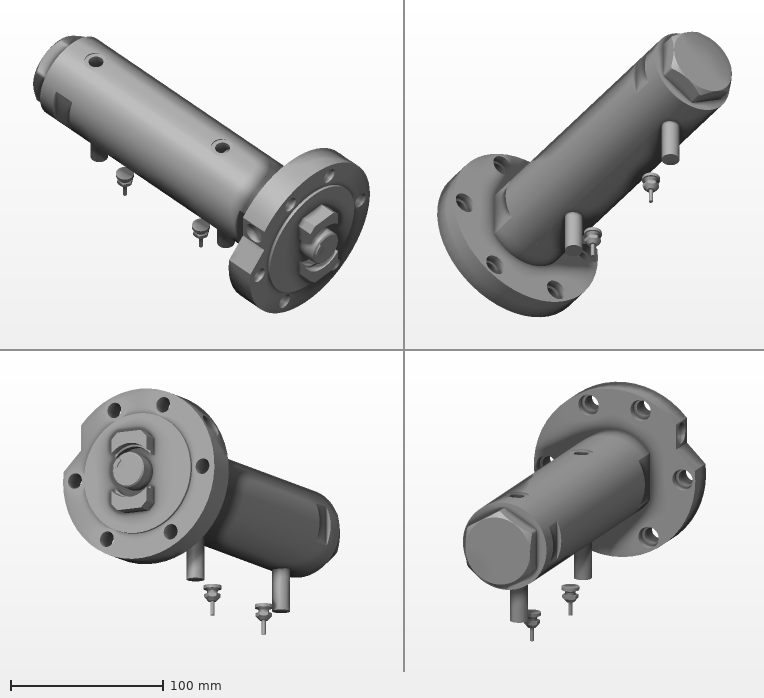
import cadquery as cq
import math


HOUSING_RADIUS = 29.5
HOUSING_START = 14.8
HOUSING_END = 190.0
WRENCH_FLAT_START = 24.5
WRENCH_FLAT_LENGTH = 14.8
WRENCH_FLAT_OFFSET = 26.5
CAVITY_START = 38.0
CAVITY_RADIUS = 14.8

PORT_SPACING = 115.2
PORT_X = (35.5, 35.5 + PORT_SPACING)
PORT_RADIUS = 5.0
PORT_FLOOR = 0.0
SPOTFACE_RADIUS = 7.6
SPOTFACE_Z = math.sqrt(HOUSING_RADIUS**2 - SPOTFACE_RADIUS**2)
PIN_X = (38.5, 38.5 + PORT_SPACING)
PIN_RADIUS = 6.0
PIN_TOP = -27.0

HEX_HALF_WIDTH = 23.0
HEX_LENGTH = 12.8
HEX_EDGE_ROUND = 2.2
HEX_CORNER_CHAMFER = 3.7

FLANGE_DIAMETER = 114.0
FLANGE_RADIUS = FLANGE_DIAMETER / 2
FLANGE_START = 210.7
FLANGE_END = 230.2
NECK_FLAT_OFFSET = 24.9
NOTCH_Y = -43.3
NOTCH_CORNER_Z = 20.2
CROSS_HOLE_Z = 29.0
CROSS_HOLE_RADIUS = 7.1
BOLT_CIRCLE_RADIUS = 48.0
BOLT_ANGLES = (0, 67.5, 112.5, 180, 240, 300)
BOLT_HOLE_RADIUS = 5.2
COUNTERBORE_RADIUS = 7.1
COUNTERBORE_DEPTH = 6.2

SLEEVE_RADIUS = 24.1
SLEEVE_HEAD_RADIUS = 25.9
SLEEVE_START = 152.2
DISC_RADIUS = 40.1
DISC_END = 232.2
DOG_END = 243.2
DOG_HALF_WIDTH = 13.0
DOG_HALF_HEIGHT = 26.0
DOG_CHAMFER = 4.2
DOG_BORE_RADIUS = 16.7
DOG_RECESS_RADIUS = 18.2
DOG_RECESS_START = 237.8

SPINDLE_RADIUS = 11.8
SPINDLE_END = 245.2
SPINDLE_CHAMFER = 1.0
TOOTH_END = 246.2
TOOTH_INNER_RADIUS = 8.0
TOOTH_OUTER_RADIUS = SPINDLE_RADIUS - SPINDLE_CHAMFER
TOOTH_ANGLES = (126, 165)

NIPPLE_X = (61.8, 131.0)
NIPPLE_TOP = -FLANGE_RADIUS
NIPPLE_LENGTH = 19.7
NIPPLE_BOTTOM = NIPPLE_TOP - NIPPLE_LENGTH
NIPPLE_HEAD_RADIUS = 6.0
NIPPLE_HEAD_HEIGHT = 2.2
NIPPLE_SHOULDER_RADIUS = 4.7
NIPPLE_HEAD_TAPER = 1.5
NIPPLE_NECK_RADIUS = 3.5
NIPPLE_HEX_TOP = -62.5
NIPPLE_HEX_HEIGHT = 3.2
NIPPLE_HEX_RADIUS = 5.5
NIPPLE_HEX_CHAMFER = 1.2
NIPPLE_CONE_TOP_RADIUS = NIPPLE_HEX_RADIUS - NIPPLE_HEX_CHAMFER
NIPPLE_CONE_HEIGHT = 1.7
NIPPLE_CONE_TIP_RADIUS = 2.7
NIPPLE_STEM_RADIUS = 1.35


def cylinder_x(radius, start, end, y=0, z=0):
    """Solid cylinder along X from start to end."""
    return cq.Workplane("YZ", origin=(start, y, z)).circle(radius).extrude(end - start)


def cylinder_z(radius, bottom, top, x):
    """Solid upright cylinder centred on (x, 0)."""
    return cq.Workplane("XY", origin=(x, 0, bottom)).circle(radius).extrude(top - bottom)


def side_cutters(offset, start, length):
    """Two blocks that leave flats at y = -offset and y = +offset on a round body."""
    depth = HOUSING_RADIUS
    block = cq.Workplane("XY").box(length, depth, 2 * HOUSING_RADIUS)
    middle = start + length / 2
    shift = offset + depth / 2
    return block.translate((middle, shift, 0)).union(block.translate((middle, -shift, 0)))


def make_pin(x):
    return cylinder_z(PIN_RADIUS, -FLANGE_RADIUS, PIN_TOP, x)


def make_housing():
    body = cylinder_x(HOUSING_RADIUS, HOUSING_START, HOUSING_END)
    body = body.cut(cylinder_x(CAVITY_RADIUS, CAVITY_START, SLEEVE_START))
    body = body.cut(cylinder_x(SLEEVE_HEAD_RADIUS, SLEEVE_START, HOUSING_END))
    body = body.cut(side_cutters(WRENCH_FLAT_OFFSET, WRENCH_FLAT_START, WRENCH_FLAT_LENGTH))
    for x in PORT_X:
        body = body.cut(cylinder_z(PORT_RADIUS, PORT_FLOOR, HOUSING_RADIUS, x))
        body = body.cut(cylinder_z(SPOTFACE_RADIUS, SPOTFACE_Z, HOUSING_RADIUS, x))
    for x in PIN_X:
        body = body.cut(make_pin(x))
    return body


def make_plug():
    """Hexagonal head with corners at +Z and -Z, and a collar as wide as the housing."""
    corner_radius = HEX_HALF_WIDTH / math.cos(math.pi / 6)
    head = (
        cq.Workplane("YZ")
        .transformed(rotate=(0, 0, 90))
        .polygon(6, 2 * corner_radius)
        .extrude(HEX_LENGTH)
        .edges("|X")
        .fillet(HEX_EDGE_ROUND)
    )
    envelope = cylinder_x(corner_radius, 0, HEX_LENGTH).faces("<X").chamfer(HEX_CORNER_CHAMFER)
    collar = cylinder_x(HOUSING_RADIUS, HEX_LENGTH, HOUSING_START)
    return head.intersect(envelope).union(collar)


def notch_cutter():
    """Step in the flange rim: an upright face, then a 45 degree slope out to the rim."""
    outside_y = 2 * NOTCH_Y
    return (
        cq.Workplane("YZ", origin=(FLANGE_START, 0, 0))
        .moveTo(NOTCH_Y, FLANGE_RADIUS)
        .lineTo(NOTCH_Y, NOTCH_CORNER_Z)
        .lineTo(outside_y, NOTCH_CORNER_Z + outside_y - NOTCH_Y)
        .lineTo(outside_y, FLANGE_RADIUS)
        .close()
        .extrude(FLANGE_END - FLANGE_START)
    )


def make_flange():
    neck = cylinder_x(HOUSING_RADIUS, HOUSING_END, FLANGE_START)
    neck = neck.cut(side_cutters(NECK_FLAT_OFFSET, HOUSING_END, FLANGE_START - HOUSING_END))
    body = neck.union(cylinder_x(FLANGE_RADIUS, FLANGE_START, FLANGE_END))
    body = body.cut(notch_cutter())
    body = body.cut(cylinder_x(SLEEVE_RADIUS, HOUSING_END, FLANGE_END))
    cross_hole = (
        cq.Workplane("XZ", origin=((FLANGE_START + FLANGE_END) / 2, 0, CROSS_HOLE_Z))
        .circle(CROSS_HOLE_RADIUS)
        .extrude(FLANGE_RADIUS, both=True)
    )
    body = body.cut(cross_hole)
    for angle in BOLT_ANGLES:
        y = BOLT_CIRCLE_RADIUS * math.cos(math.radians(angle))
        z = BOLT_CIRCLE_RADIUS * math.sin(math.radians(angle))
        counterbore_end = FLANGE_START + COUNTERBORE_DEPTH
        body = body.cut(cylinder_x(BOLT_HOLE_RADIUS, FLANGE_START, FLANGE_END, y, z))
        body = body.cut(cylinder_x(COUNTERBORE_RADIUS, FLANGE_START, counterbore_end, y, z))
    return body


def make_sleeve():
    """Stepped tube around the spindle, ending in a thin disc that carries two drive dogs."""
    head = cylinder_x(SLEEVE_HEAD_RADIUS, SLEEVE_START, HOUSING_END)
    tube = cylinder_x(SLEEVE_RADIUS, HOUSING_END, FLANGE_END)
    disc = cylinder_x(DISC_RADIUS, FLANGE_END, DISC_END)
    dogs = (
        cq.Workplane("YZ", origin=(DISC_END, 0, 0))
        .rect(2 * DOG_HALF_WIDTH, 2 * DOG_HALF_HEIGHT)
        .extrude(DOG_END - DISC_END)
        .edges("|X")
        .chamfer(DOG_CHAMFER)
        .cut(cylinder_x(DOG_BORE_RADIUS, DISC_END, DOG_END))
        .cut(cylinder_x(DOG_RECESS_RADIUS, DOG_RECESS_START, DOG_END))
    )
    body = head.union(tube).union(disc).union(dogs)
    return body.cut(cylinder_x(SPINDLE_RADIUS, SLEEVE_START, DISC_END))


def make_spindle():
    """Plain rod with a chamfered end and a small raised tooth on its end face."""
    rod = cylinder_x(SPINDLE_RADIUS, CAVITY_START, SPINDLE_END).faces(">X").chamfer(SPINDLE_CHAMFER)

    def ring_point(radius, angle):
        return radius * math.cos(math.radians(angle)), radius * math.sin(math.radians(angle))

    first, last = TOOTH_ANGLES
    middle = (first + last) / 2
    tooth = (
        cq.Workplane("YZ", origin=(SPINDLE_END, 0, 0))
        .moveTo(*ring_point(TOOTH_INNER_RADIUS, first))
        .lineTo(*ring_point(TOOTH_OUTER_RADIUS, first))
        .threePointArc(ring_point(TOOTH_OUTER_RADIUS, middle), ring_point(TOOTH_OUTER_RADIUS, last))
        .lineTo(*ring_point(TOOTH_INNER_RADIUS, last))
        .threePointArc(ring_point(TOOTH_INNER_RADIUS, middle), ring_point(TOOTH_INNER_RADIUS, first))
        .close()
        .extrude(TOOTH_END - SPINDLE_END)
    )
    return rod.union(tooth)


def make_nipple(x):
    """Headed round body with a hexagon, a cone below it and a thin stem."""
    head_bottom = NIPPLE_TOP - NIPPLE_HEAD_HEIGHT
    hex_bottom = NIPPLE_HEX_TOP - NIPPLE_HEX_HEIGHT
    cone_bottom = hex_bottom - NIPPLE_CONE_HEIGHT
    profile = [
        (0, NIPPLE_TOP),
        (NIPPLE_HEAD_RADIUS, NIPPLE_TOP),
        (NIPPLE_HEAD_RADIUS, head_bottom),
        (NIPPLE_SHOULDER_RADIUS, head_bottom),
        (NIPPLE_NECK_RADIUS, head_bottom - NIPPLE_HEAD_TAPER),
        (NIPPLE_NECK_RADIUS, hex_bottom),
        (NIPPLE_CONE_TOP_RADIUS, hex_bottom),
        (NIPPLE_CONE_TIP_RADIUS, cone_bottom),
        (NIPPLE_STEM_RADIUS, cone_bottom),
        (NIPPLE_STEM_RADIUS, NIPPLE_BOTTOM),
        (0, NIPPLE_BOTTOM),
    ]
    turned = cq.Workplane("XZ").polyline(profile).close().revolve(360, (0, 0, 0), (0, 1, 0))
    hexagon = (
        cq.Workplane("XY", origin=(0, 0, hex_bottom))
        .polygon(6, 2 * NIPPLE_HEX_RADIUS)
        .extrude(NIPPLE_HEX_HEIGHT)
    )
    envelope = cylinder_z(NIPPLE_HEX_RADIUS, hex_bottom, NIPPLE_HEX_TOP, 0)
    hexagon = hexagon.intersect(envelope.faces("<Z").chamfer(NIPPLE_HEX_CHAMFER))
    return turned.union(hexagon).translate((x, 0, 0))


housing = make_housing()
plug = make_plug()
flange = make_flange()
sleeve = make_sleeve()
spindle = make_spindle()
pins = [make_pin(x) for x in PIN_X]
nipples = [make_nipple(x) for x in NIPPLE_X]

bodies = [housing, plug, flange, sleeve, spindle, *pins, *nipples]
result = cq.Compound.makeCompound([body.val() for body in bodies])